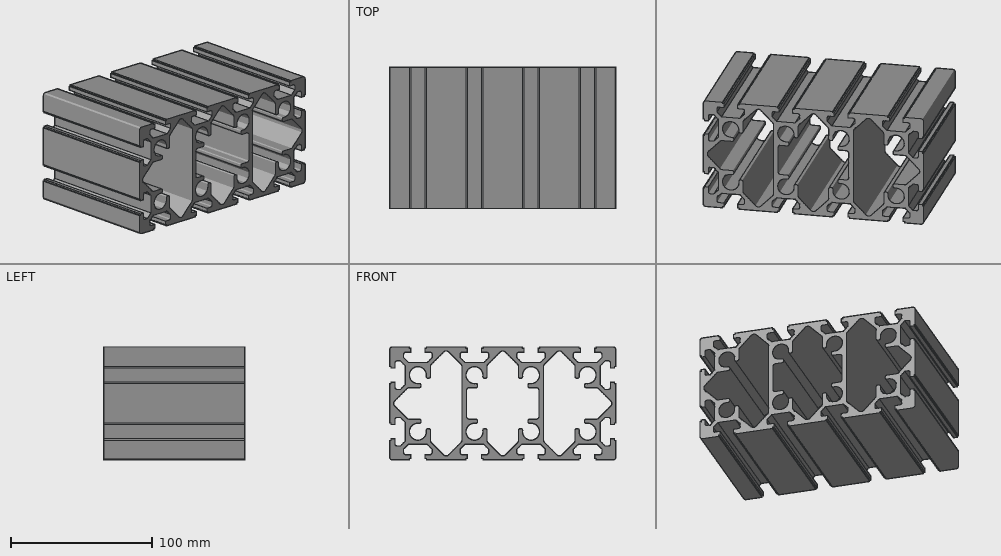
import cadquery as cq

module = 40.0
width = 4 * module
height = 2 * module
length = 2.5 * module
outer_corner_radius = 2.0

slot_mouth = 10.0
slot_lip = 3.8
slot_width = 20.0
slot_shoulder_depth = 7.7
slot_depth = 11.0
slot_floor_width = slot_width - 2 * (slot_depth - slot_shoulder_depth)
slot_corner_radius = 1.5
mouth_step_width = 1.1
mouth_step_depth = 1.0

post_half = 9.0
bore_radius = 6.0
port_opening_start = 2.2
arm_tip_radius = 1.3

notch_apex_depth = 2.0
notch_apex_radius = 2.5
chamber_corner_radius = 2.0
web_thickness = 3.4

inner_port = module / 2
outer_port = inner_port + module
port_height = module / 2
half_width = width / 2
half_height = height / 2
post_bottom = port_height - post_half
notch_rise = module / 2 - post_half
shoulder_height = half_height - notch_apex_depth - notch_rise


def prism(points):
    """Extrude an X-Z outline along the whole length, centred on Y."""
    return cq.Workplane("XZ").polyline(points).close().extrude(length / 2, both=True)


def at(x, z):
    """Selector for the lengthwise edges passing through one X-Z place."""
    tolerance = 0.02
    return cq.selectors.BoxSelector(
        (x - tolerance, -length, z - tolerance), (x + tolerance, length, z + tolerance)
    )


def slot_cutter():
    """T-slot opening upwards, with the outer surface at Z = 0."""
    mouth = slot_mouth / 2
    step = mouth + mouth_step_width
    side = slot_width / 2
    floor = slot_floor_width / 2
    right_side = [
        (step, 0),
        (step, -mouth_step_depth),
        (mouth, -mouth_step_depth),
        (mouth, -slot_lip),
        (side, -slot_lip),
        (side, -slot_shoulder_depth),
        (floor, -slot_depth),
    ]
    left_side = [(-x, z) for x, z in reversed(right_side)]
    slot = prism(right_side + left_side)
    for sign in (-1, 1):
        slot = slot.edges(at(sign * side, -slot_lip)).fillet(slot_corner_radius)
    return slot


def middle_chamber():
    """Upper half of the central chamber, spanning both sides of X = 0."""
    post_inside = inner_port - post_half
    web_face = inner_port + post_half - web_thickness
    apex = half_height - notch_apex_depth
    right_side = [
        (post_inside, shoulder_height),
        (post_inside, post_bottom),
        (web_face, post_bottom),
        (web_face, 0),
    ]
    left_side = [(-x, z) for x, z in reversed(right_side)]
    chamber = prism([(0, apex)] + right_side + left_side)
    chamber = chamber.edges(at(0, apex)).fillet(notch_apex_radius)
    for side in (-1, 1):
        for corner in ((post_inside, shoulder_height), (web_face, post_bottom)):
            chamber = chamber.edges(at(side * corner[0], corner[1])).fillet(chamber_corner_radius)
    return chamber


def end_chamber():
    """Whole end chamber, symmetric about Z = 0."""
    web_face = inner_port + post_half
    post_inside = outer_port - post_half
    top_apex = (module, half_height - notch_apex_depth)
    side_apex = (half_width - notch_apex_depth, 0)
    upper = [
        top_apex,
        (post_inside, shoulder_height),
        (post_inside, post_bottom),
        (side_apex[0] - notch_rise, post_bottom),
    ]
    lower = [(x, -z) for x, z in reversed(upper)]
    web_top = (web_face, shoulder_height)
    web_bottom = (web_face, -shoulder_height)
    chamber = prism(upper + [side_apex] + lower + [web_bottom, web_top])
    for apex in (top_apex, side_apex):
        chamber = chamber.edges(at(*apex)).fillet(notch_apex_radius)
    for corner in (upper[1], upper[3], lower[0], lower[2], web_top, web_bottom):
        chamber = chamber.edges(at(*corner)).fillet(chamber_corner_radius)
    return chamber


def port_cutter(x):
    """Round bore plus the square opening facing the chamber middle."""
    circle = cq.Workplane("XZ").center(x, port_height).circle(bore_radius)
    bore = circle.extrude(length / 2, both=True)
    near_x = x - port_opening_start
    far_x = x - post_half
    near_z = port_height - port_opening_start
    opening = prism([(near_x, near_z), (far_x, near_z), (far_x, post_bottom), (near_x, post_bottom)])
    return bore.union(opening)


def round_arm_tips(body, x):
    """Round both corners at the free end of each of the port's two arms."""
    bore_reach = (bore_radius**2 - port_opening_start**2) ** 0.5
    for reach in (bore_reach, post_half):
        body = body.edges(at(x - port_opening_start, port_height - reach)).fillet(arm_tip_radius)
        body = body.edges(at(x - reach, port_height - port_opening_start)).fillet(arm_tip_radius)
    return body


quadrant = prism([(0, 0), (half_width, 0), (half_width, half_height), (0, half_height)])
quadrant = quadrant.edges(at(half_width, half_height)).fillet(outer_corner_radius)
quadrant = quadrant.cut(middle_chamber()).cut(end_chamber())

slot = slot_cutter()
for slot_x in (inner_port, outer_port):
    quadrant = quadrant.cut(slot.translate((slot_x, 0, half_height)))
side_slot = slot.rotate((0, 0, 0), (0, 1, 0), 90)
quadrant = quadrant.cut(side_slot.translate((half_width, 0, port_height)))

for port_x in (inner_port, outer_port):
    quadrant = quadrant.cut(port_cutter(port_x))
    quadrant = round_arm_tips(quadrant, port_x)

upper_half = quadrant.union(quadrant.mirror("YZ"))
result = upper_half.union(upper_half.mirror("XY")).clean()